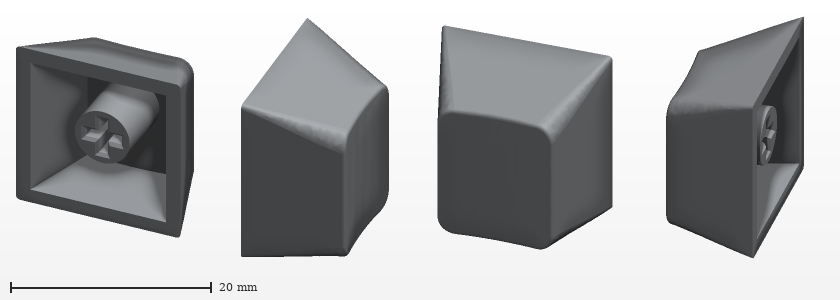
import cadquery as cq
import math

base_size = 18.0
half_base = base_size / 2
body_depth = 11.0
side_draft = 16.7
upper_draft = 19.2
wall = 1.5

dish_radius = 41.5
dish_bottom = 9.55

corner_radius_base = 0.45
corner_radius_top = 1.85
rim_fillet = 0.4

stem_diameter = 6.0
stem_recess = 1.0
stem_end = dish_bottom - wall / 2
cross_length = 4.0
cross_width = 1.0
cross_depth = 4.0
cross_chamfer = 0.32

side_slope = math.tan(math.radians(side_draft))
upper_slope = math.tan(math.radians(upper_draft))


def drafted_block(inset):
    """Tapered block whose walls lie `inset` inside the outer faces, measured square to them."""
    half_x = half_base - inset / math.cos(math.radians(side_draft))
    top_z = half_base - inset / math.cos(math.radians(upper_draft))
    bottom_z = inset - half_base

    def section(y):
        x = half_x - side_slope * y
        z = top_z - upper_slope * y
        corners = [(-x, y, bottom_z), (x, y, bottom_z), (x, y, z), (-x, y, z)]
        return cq.Wire.makePolygon([cq.Vector(*corner) for corner in corners], close=True)

    return cq.Workplane(cq.Solid.makeLoft([section(0), section(body_depth)], True))


def dish_cutter(inset):
    """Cylinder along Z that forms the dish, enlarged by `inset` for the inner floor."""
    return (
        cq.Workplane("XY", origin=(0, dish_bottom + dish_radius, -base_size))
        .circle(dish_radius + inset)
        .extrude(2 * base_size)
    )


def round_corners(body):
    """Round the four drafted corner edges with a radius that grows from the base to the dish."""
    fillet = cq.occ_impl.shapes.BRepFilletAPI_MakeFillet(body.val().wrapped)
    for edge in body.edges().vals():
        runs_base_to_dish = edge.BoundingBox().ylen > dish_bottom / 2
        if runs_base_to_dish:
            radii = [corner_radius_base, corner_radius_top]
            if edge.startPoint().y > edge.endPoint().y:
                radii.reverse()
            fillet.Add(*radii, edge.wrapped)
    return cq.Workplane(cq.Shape.cast(fillet.Shape()))


def stem():
    """Round stem reaching from its recessed face into the top wall, with a chamfered cross socket."""
    post = (
        cq.Workplane("XZ", origin=(0, stem_recess, 0))
        .circle(stem_diameter / 2)
        .extrude(-(stem_end - stem_recess))
    )
    for arm_x, arm_z in [(cross_length, cross_width), (cross_width, cross_length)]:
        arm = cq.Workplane("XZ", origin=(0, stem_recess, 0)).rect(arm_x, arm_z).extrude(-cross_depth)
        post = post.cut(arm)
    return post.faces("<Y").edges("%LINE").chamfer(cross_chamfer)


outer = round_corners(drafted_block(0).cut(dish_cutter(0)))
outer = outer.faces(">Y").edges().fillet(rim_fillet)
cavity = drafted_block(wall).cut(dish_cutter(wall))
result = outer.cut(cavity).union(stem()).solids()